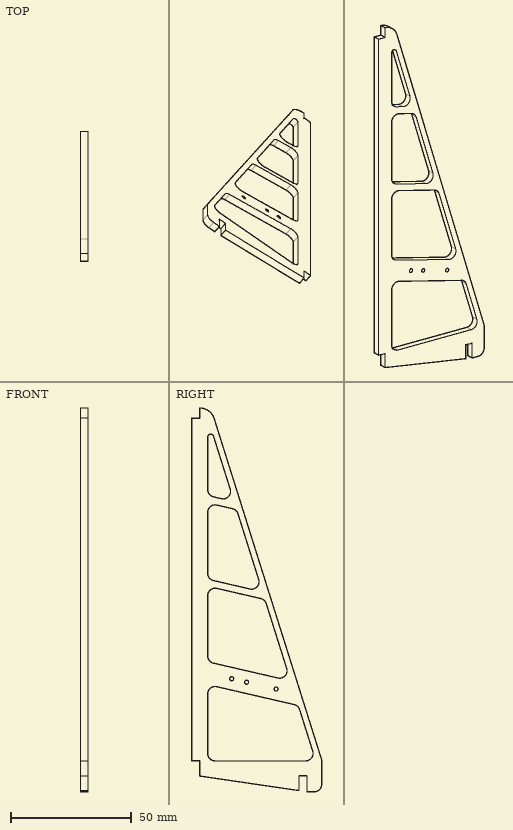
import cadquery as cq
import math

thickness = 3.2
depth = 54.0
height = 159.3

tab_inset = 3.3
top_step_z = 155.0
bottom_step_z = 12.9
bottom_tab_z = 6.5
slant_start_z = 13.2
slant_run = 0.315
toe_radius = 3.2

slot_rear_y = 44.6
slot_front_y = slot_rear_y + thickness
slot_top_z = 6.7
slot_rear_bottom_z = 0.5

rear_spar = 6.7
slanted_spar = 2.5
rib_slope = math.tan(math.radians(13))
window_radius = 3.0
apex_radius = 1.2

wide_rib = (44.5, 54.0)
middle_rib = (85.2, 88.2)
upper_rib = (119.8, 123.0)

hole_diameter = 1.6
hole_depths = (16.5, 22.8, 35.0)


def slanted_edge_y(z):
    return depth - slant_run * (z - slant_start_z)


def extrude_outline(points):
    return cq.Workplane("YZ").polyline(points).close().extrude(thickness)


def round_corner(body, y, z, radius):
    """Round the through-thickness edge at the given corner."""
    corner = cq.selectors.NearestToPointSelector((thickness / 2, y, z))
    return body.edges("|X").edges(corner).fillet(radius)


def make_plate():
    corner_y = slanted_edge_y(height)
    tangent_length = corner_y - tab_inset
    tip_end_z = height - tangent_length / math.hypot(1, slant_run)
    tip_end_y = slanted_edge_y(tip_end_z)
    slant_angle = math.atan2(1, slant_run)
    tip_radius = tangent_length / math.tan(slant_angle / 2)
    tip_mid_y = tab_inset + tip_radius * math.sin(slant_angle / 2)
    tip_mid_z = height - tip_radius * (1 - math.cos(slant_angle / 2))
    plate = (
        cq.Workplane("YZ")
        .moveTo(0, bottom_step_z)
        .lineTo(0, top_step_z)
        .lineTo(tab_inset, top_step_z)
        .lineTo(tab_inset, height)
        .threePointArc((tip_mid_y, tip_mid_z), (tip_end_y, tip_end_z))
        .lineTo(depth, slant_start_z)
        .lineTo(depth, 0)
        .lineTo(slot_front_y, 0)
        .lineTo(slot_front_y, slot_top_z)
        .lineTo(slot_rear_y, slot_top_z)
        .lineTo(slot_rear_y, slot_rear_bottom_z)
        .lineTo(tab_inset, bottom_tab_z)
        .lineTo(tab_inset, bottom_step_z)
        .close()
        .extrude(thickness)
    )
    return round_corner(plate, depth, 0, toe_radius)


inner_start_y = depth - slanted_spar * math.hypot(1, slant_run)


def window_front_corner(rear_z, slope):
    """Point where a rib edge starting at rear_z meets the slanted spar."""
    level_z = rear_z + slope * rear_spar
    y = (inner_start_y - slant_run * (level_z - slant_start_z)) / (1 - slant_run * slope)
    return y, level_z - slope * y


def make_window(bottom_z, top_z, bottom_slope=rib_slope):
    window = extrude_outline([
        (rear_spar, bottom_z),
        (rear_spar, top_z),
        window_front_corner(top_z, rib_slope),
        window_front_corner(bottom_z, bottom_slope),
    ])
    return window.edges("|X").fillet(window_radius)


def make_apex_window(bottom_z):
    apex_z = slant_start_z + (inner_start_y - rear_spar) / slant_run
    front_corner = window_front_corner(bottom_z, rib_slope)
    window = extrude_outline([(rear_spar, bottom_z), (rear_spar, apex_z), front_corner])
    window = round_corner(window, rear_spar, apex_z, apex_radius)
    window = round_corner(window, rear_spar, bottom_z, window_radius)
    return round_corner(window, *front_corner, window_radius)


def make_pin_holes():
    rib_centre_z = sum(wide_rib) / 2
    centres = [(y, rib_centre_z - rib_slope * (y - rear_spar)) for y in hole_depths]
    return cq.Workplane("YZ").pushPoints(centres).circle(hole_diameter / 2).extrude(thickness)


result = (
    make_plate()
    .cut(make_window(bottom_step_z, wide_rib[0], bottom_slope=0))
    .cut(make_window(wide_rib[1], middle_rib[0]))
    .cut(make_window(middle_rib[1], upper_rib[0]))
    .cut(make_apex_window(upper_rib[1]))
    .cut(make_pin_holes())
)